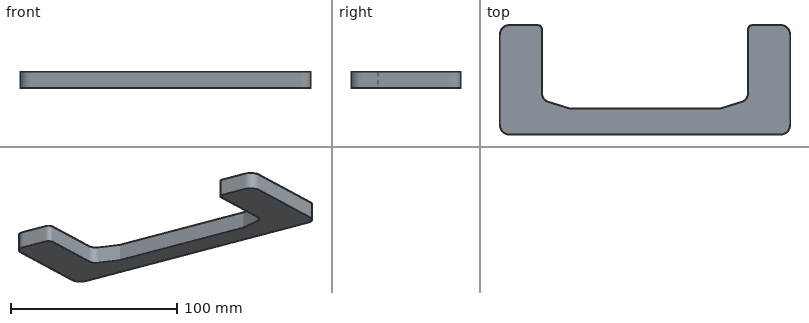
import cadquery as cq

length = 175.0
depth = 66.2
thickness = 10.0

arm_width = 25.5
bar_width = 16.0
gusset_run = 16.5
gusset_rise = 5.0

outer_radius = 6.0
tip_radius = 3.0
inner_radius = 5.0

half_length = length / 2
front_y = -depth / 2
back_y = depth / 2
arm_inner_x = half_length - arm_width
bar_back_y = front_y + bar_width
gusset_top_y = bar_back_y + gusset_rise
gusset_end_x = arm_inner_x - gusset_run


def round_corners(body, corners, radius):
    """Round the vertical edges at the given corners and their mirror images in X."""
    picks = cq.Workplane("XY")
    for x, y in corners:
        for side in (-1, 1):
            near = cq.selectors.NearestToPointSelector((side * x, y, thickness / 2))
            picks = picks.add(body.edges("|Z").edges(near).val())
    return body.newObject(picks.vals()).fillet(radius)


right_half = [
    (half_length, front_y),
    (half_length, back_y),
    (arm_inner_x, back_y),
    (arm_inner_x, gusset_top_y),
    (gusset_end_x, bar_back_y),
]
left_half = [(-x, y) for x, y in reversed(right_half)]
handle = cq.Workplane("XY").polyline(right_half + left_half).close().extrude(thickness)

handle = round_corners(handle, [(half_length, front_y), (half_length, back_y)], outer_radius)
handle = round_corners(handle, [(arm_inner_x, back_y)], tip_radius)
handle = round_corners(handle, [(arm_inner_x, gusset_top_y)], inner_radius)

result = handle